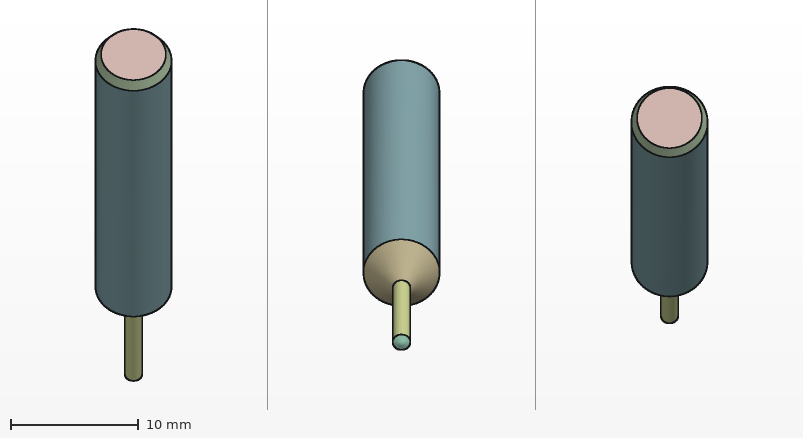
import cadquery as cq

total_length = 41.0
shank_radius = 3.0
shank_top_radius = 2.55
top_chamfer_height = 0.78
taper_bottom_z = 8.98
taper_height = 2.45
drill_radius = 0.7
tip_height = 0.3

shank_bottom_z = taper_bottom_z + taper_height
chamfer_bottom_z = total_length - top_chamfer_height


def make_holder():
    """Cylindrical shank with a chamfered top, tapering down to the drill."""
    profile = [
        (0, taper_bottom_z),
        (drill_radius, taper_bottom_z),
        (shank_radius, shank_bottom_z),
        (shank_radius, chamfer_bottom_z),
        (shank_top_radius, total_length),
        (0, total_length),
    ]
    return cq.Workplane("XZ").polyline(profile).close().revolve(360, (0, 0), (0, 1))


def make_drill():
    """Thin drill with a shallow conical tip, meeting the holder end to end."""
    profile = [
        (0, 0),
        (drill_radius, tip_height),
        (drill_radius, taper_bottom_z),
        (0, taper_bottom_z),
    ]
    return cq.Workplane("XZ").polyline(profile).close().revolve(360, (0, 0), (0, 1))


holder = make_holder()
drill = make_drill()

result = cq.Compound.makeCompound([holder.val(), drill.val()])